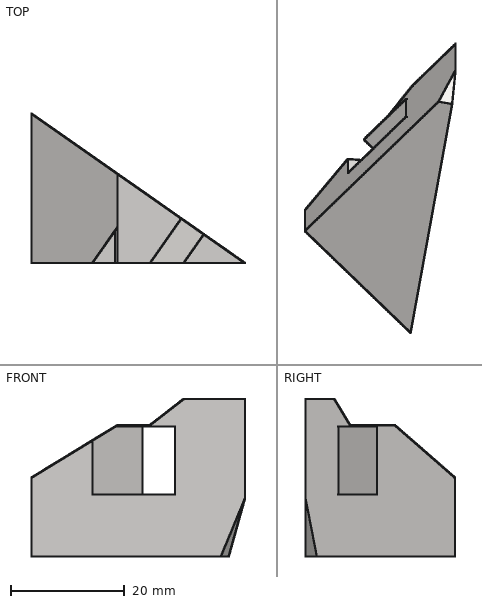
import cadquery as cq
import math

length = 37.62
depth = 26.35
height = 27.75

left_wall_height = 13.92
roof_end_x = 15.15

ledge_height = 23.17
step_bottom_x = 20.88
step_top_x = 26.8

window_left_x = 10.72
window_right_x = 25.25
window_bottom = 10.95
window_top = 22.9

undercut_height = 10.3
undercut_bottom_x = 33.35

margin = 3.75
cut_reach = length + depth
along_slant = length / math.hypot(length, depth)


def slant_cutter(points):
    """Prism square to the slanted face; points are (x on the front face, z)."""
    plane = cq.Plane(origin=(0, 0, 0), xDir=(length, -depth, 0), normal=(-depth, -length, 0))
    outline = [(x * along_slant, z) for x, z in points]
    return cq.Workplane(plane).polyline(outline).close().extrude(cut_reach, both=True)


wedge = cq.Workplane("XY").polyline([(0, 0), (length, 0), (0, depth)]).close().extrude(height)

roof_slope = (ledge_height - left_wall_height) / roof_end_x
roof_top_x = (height - left_wall_height) / roof_slope
roof_cutter = (
    cq.Workplane("XZ")
    .polyline([(0, left_wall_height), (roof_top_x, height), (0, height)])
    .close()
    .extrude(-depth)
)

step_slope = (height - ledge_height) / (step_top_x - step_bottom_x)
step_cutter = slant_cutter([
    (-cut_reach, ledge_height),
    (step_bottom_x, ledge_height),
    (step_top_x + margin / step_slope, height + margin),
    (-cut_reach, height + margin),
])

window_cutter = slant_cutter([
    (window_left_x, window_bottom),
    (window_right_x, window_bottom),
    (window_right_x, window_top),
    (window_left_x, window_top),
])

undercut_cutter = slant_cutter([
    (undercut_bottom_x, 0),
    (length, undercut_height),
    (length + margin, undercut_height),
    (length + margin, 0),
])

result = wedge.cut(roof_cutter).cut(step_cutter).cut(window_cutter).cut(undercut_cutter)